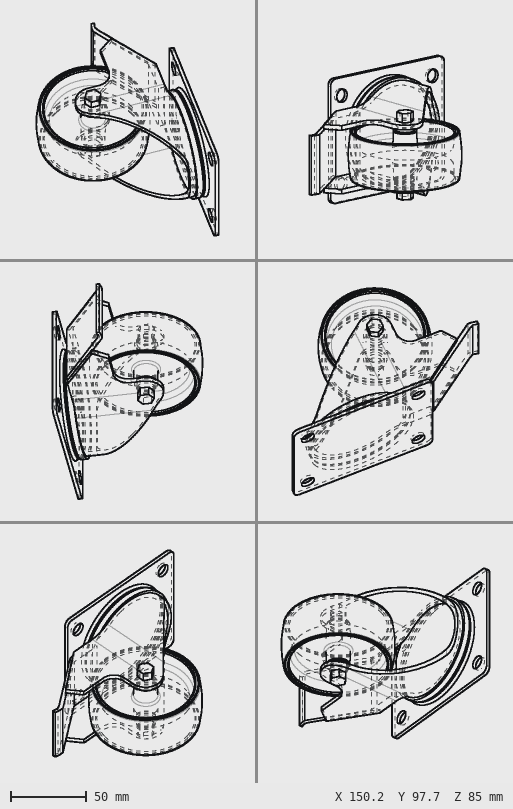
import cadquery as cq
import math


total_length = 150.2
total_depth = 97.7

plate_length = 100.0
plate_width = 85.0
plate_thickness = 2.5
plate_corner_radius = 4.5
plate_hole_diameter = 9
hole_pitch_x = 80.0
hole_pitch_z = 60.1

head_radius = 36.8
head_collar_radius = 37.3
head_neck_radius = 36
head_neck_depth = 4.8
head_chamfer_start = 5.7
head_chamfer_end = 6.6
head_bottom = 10.7

sheet = 3.2
cheek_outer = 23.3
skirt_radius = 35.0
leg_radius = 11.7
heel_radius = 9.9
heel_depth = 42.2
heel_front_x = -74.8
cheek_top_x = -52.6
heel_back_x = -82.0
heel_back_depth = 32.3
skirt_edge_angle = math.radians(44)
skirt_edge_depth = 14.9
skirt_edge_radius = 9

wheel_x = -35.0
wheel_depth = 60.1
wheel_radius = total_depth - wheel_depth
wheel_half_width = 16.1
tread_edge_radius = 36.2
tread_edge_round = 0.8
rim_outer_radius = 34.9
rim_groove_depth = 0.5
rim_inner_radius = 33.4
rim_chamfer = 0.9
web_half_thickness = 4.2
web_radius = 29.0
web_fillet = 3
hub_radius = 7.7
hub_base_radius = 8.1
hub_fillet = 1.5
hub_half_length = 16.8
axle_diameter = 12
nut_flats = 9.6
nut_end = 29.5

pedal_thickness = 3
pedal_angle = math.radians(35.4)
pedal_top_x = -55.7
pedal_tip_x = plate_length / 2 - total_length
pedal_bend_x = -93.8
pedal_toe_x = -96.5
pedal_toe_depth = 39
pedal_tip_depth = 38.3
pedal_tip_height = 2.3
pedal_sole_depth = 41.3
top_plate_thickness = 4.2

cheek_inner = cheek_outer - sheet


def make_plate():
    plate = cq.Workplane("XZ").rect(plate_length, plate_width).extrude(plate_thickness)
    plate = plate.edges("|Y").fillet(plate_corner_radius)
    holes = (
        cq.Workplane("XZ")
        .rect(hole_pitch_x, hole_pitch_z, forConstruction=True)
        .vertices()
        .circle(plate_hole_diameter / 2)
        .extrude(plate_thickness)
    )
    return plate.cut(holes)


def make_head():
    return (
        cq.Workplane("XY")
        .moveTo(0, -plate_thickness)
        .lineTo(head_collar_radius, -plate_thickness)
        .lineTo(head_neck_radius, -head_neck_depth)
        .lineTo(head_neck_radius, -head_chamfer_start)
        .lineTo(head_radius, -head_chamfer_end)
        .lineTo(head_radius, -head_bottom)
        .lineTo(0, -head_bottom)
        .close()
        .revolve(360, (0, 0, 0), (0, 1, 0))
    )


def skirt_plan(half_gap, radius, blend_radius, depth):
    """Keyhole: two straight cheeks blending into a round skirt about the swivel axis."""
    blend_z = half_gap + blend_radius
    direction = math.atan2(blend_z, wheel_x)
    join = (radius * math.cos(direction), radius * math.sin(direction))
    middle_angle = (direction - math.pi - math.pi / 2) / 2
    middle = (
        wheel_x + blend_radius * math.cos(middle_angle),
        blend_z + blend_radius * math.sin(middle_angle),
    )
    return (
        cq.Workplane("XZ", origin=(0, -head_bottom, 0))
        .moveTo(pedal_tip_x, half_gap)
        .lineTo(wheel_x, half_gap)
        .threePointArc(middle, join)
        .threePointArc((radius, 0), (join[0], -join[1]))
        .threePointArc((middle[0], -middle[1]), (wheel_x, -half_gap))
        .lineTo(pedal_tip_x, -half_gap)
        .close()
        .extrude(depth)
    )


def make_fork():
    blend = (wheel_x**2 + cheek_outer**2 - skirt_radius**2) / (2 * (skirt_radius - cheek_outer))
    fork_depth = wheel_depth + leg_radius - head_bottom
    outside = skirt_plan(cheek_outer, skirt_radius, blend, fork_depth)
    inside = skirt_plan(cheek_inner, skirt_radius - sheet, blend + sheet, fork_depth)
    sheet_body = outside.cut(inside)

    sine = math.sin(skirt_edge_angle)
    cosine = math.cos(skirt_edge_angle)
    leg_end_x = wheel_x + leg_radius * sine
    leg_end_depth = wheel_depth + leg_radius * cosine
    arc_start_depth = skirt_edge_depth + skirt_edge_radius * (1 - cosine)
    arc_start_x = leg_end_x + (leg_end_depth - arc_start_depth) * cosine / sine
    arc_end_x = arc_start_x + skirt_edge_radius * sine
    leg_back_x = wheel_x - leg_radius
    heel_start_x = leg_back_x - heel_radius
    heel_middle = heel_radius * math.sqrt(0.5)
    side = (
        cq.Workplane("XY", origin=(0, 0, -skirt_radius))
        .moveTo(cheek_top_x, -head_bottom)
        .lineTo(heel_back_x, -heel_back_depth)
        .lineTo(heel_front_x, -heel_depth)
        .lineTo(heel_start_x, -heel_depth)
        .threePointArc(
            (heel_start_x + heel_middle, -heel_depth - heel_radius + heel_middle),
            (leg_back_x, -heel_depth - heel_radius),
        )
        .lineTo(leg_back_x, -wheel_depth)
        .threePointArc((wheel_x, -wheel_depth - leg_radius), (leg_end_x, -leg_end_depth))
        .lineTo(arc_start_x, -arc_start_depth)
        .radiusArc((arc_end_x, -skirt_edge_depth), skirt_edge_radius)
        .lineTo(skirt_radius, -skirt_edge_depth)
        .lineTo(skirt_radius, -head_bottom)
        .close()
        .extrude(2 * skirt_radius)
    )
    return sheet_body.intersect(side)


def make_pedal():
    slope = math.tan(pedal_angle)
    drop = pedal_thickness / math.cos(pedal_angle)
    bend_depth = head_bottom + (pedal_top_x - pedal_bend_x) * slope
    sole_x = pedal_top_x - (pedal_sole_depth - head_bottom - drop) / slope
    top_plate_bottom = head_bottom + top_plate_thickness
    inner_bend_x = pedal_top_x - (top_plate_thickness - drop) / slope
    return (
        cq.Workplane("XY", origin=(0, 0, -cheek_inner))
        .moveTo(wheel_x, -head_bottom)
        .lineTo(pedal_top_x, -head_bottom)
        .lineTo(pedal_bend_x, -bend_depth)
        .lineTo(pedal_toe_x, -pedal_toe_depth)
        .lineTo(pedal_tip_x, -pedal_tip_depth)
        .lineTo(pedal_tip_x, -pedal_tip_depth - pedal_tip_height)
        .lineTo(pedal_toe_x, -pedal_sole_depth)
        .lineTo(sole_x, -pedal_sole_depth)
        .lineTo(inner_bend_x, -top_plate_bottom)
        .lineTo(wheel_x, -top_plate_bottom)
        .close()
        .extrude(2 * cheek_inner)
    )


def make_wheel_body():
    shoulder = wheel_half_width - tread_edge_round
    tyre_inner_radius = tread_edge_radius - tread_edge_round
    return (
        cq.Workplane("XZ")
        .moveTo(0, -wheel_half_width)
        .lineTo(tyre_inner_radius, -wheel_half_width)
        .radiusArc((tread_edge_radius, -shoulder), -tread_edge_round)
        .threePointArc((wheel_radius, 0), (tread_edge_radius, shoulder))
        .radiusArc((tyre_inner_radius, wheel_half_width), -tread_edge_round)
        .lineTo(0, wheel_half_width)
        .close()
        .revolve(360, (0, 0, 0), (0, 1, 0))
    )


def make_recess():
    """Space around the hub on the +Z face of the wheel."""
    fillet_top = web_half_thickness + web_fillet
    return (
        cq.Workplane("XZ")
        .moveTo(0, hub_half_length)
        .lineTo(hub_radius, hub_half_length)
        .lineTo(hub_base_radius, web_half_thickness + hub_fillet)
        .radiusArc((hub_base_radius + hub_fillet, web_half_thickness), -hub_fillet)
        .lineTo(web_radius, web_half_thickness)
        .radiusArc((web_radius + web_fillet, fillet_top), -web_fillet)
        .lineTo(rim_inner_radius - rim_chamfer, wheel_half_width - rim_chamfer)
        .lineTo(rim_inner_radius, wheel_half_width)
        .lineTo(rim_inner_radius, hub_half_length + hub_fillet)
        .lineTo(0, hub_half_length + hub_fillet)
        .close()
        .revolve(360, (0, 0, 0), (0, 1, 0))
    )


def make_wheel():
    groove = (
        cq.Workplane("XY", origin=(0, 0, wheel_half_width - rim_groove_depth))
        .circle(tread_edge_radius - tread_edge_round)
        .circle(rim_outer_radius)
        .extrude(rim_groove_depth)
    )
    hub_tip = (
        cq.Workplane("XY", origin=(0, 0, web_half_thickness))
        .circle(hub_radius)
        .extrude(hub_half_length - web_half_thickness)
    )
    recess = make_recess()
    wheel = make_wheel_body()
    wheel = wheel.cut(recess).cut(recess.mirror("XY"))
    wheel = wheel.cut(groove).cut(groove.mirror("XY"))
    wheel = wheel.union(hub_tip).union(hub_tip.mirror("XY"))
    return wheel.translate((wheel_x, -wheel_depth, 0))


def make_axle():
    axle = cq.Workplane("XY").circle(axle_diameter / 2).extrude(2 * cheek_inner)
    axle = axle.translate((0, 0, -cheek_inner))
    nut_corner_diameter = nut_flats / math.cos(math.pi / 6)
    nut = cq.Workplane("XY").polygon(6, nut_corner_diameter).extrude(nut_end - cheek_inner)
    nut = nut.rotate((0, 0, 0), (0, 0, 1), 90).translate((0, 0, cheek_inner))
    axle = axle.union(nut).union(nut.mirror("XY"))
    return axle.translate((wheel_x, -wheel_depth, 0))


result = (
    make_plate()
    .union(make_head())
    .union(make_fork())
    .union(make_pedal())
    .union(make_wheel())
    .union(make_axle())
)